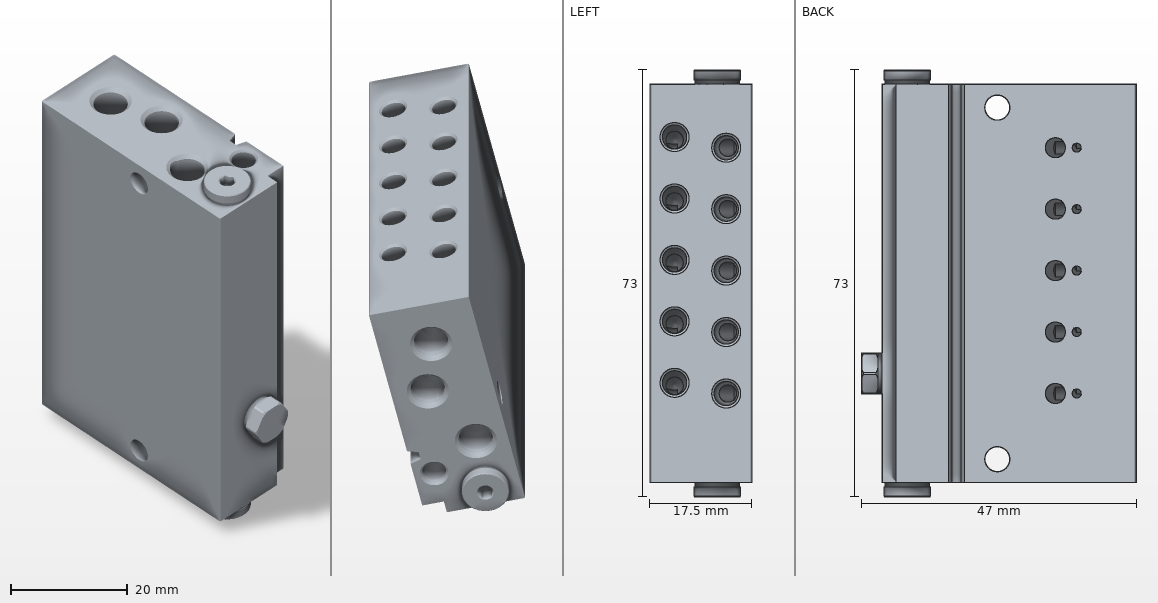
import cadquery as cq
import math

TOTAL_LENGTH = 47.0
TOTAL_HEIGHT = 73.0
BLOCK_LENGTH = 43.5
BLOCK_DEPTH = 17.5
PLUG_HEIGHT = 2.4
BLOCK_HEIGHT = TOTAL_HEIGHT - 2 * PLUG_HEIGHT
BLOCK_TOP = BLOCK_HEIGHT / 2
EDGE_RADIUS = 0.2

STEP_LENGTH = 2.3
STEP_DEPTH = 3.8
GROOVE_X = 30.8
GROOVE_MOUTH = 2.8
GROOVE_FLOOR = 1.5
GROOVE_DEPTH = 1.9

CHANNELS = [
    ((8.25, 8.5), (9.05, 8.5)),
    ((17.9, 11.25), (18.6, 10.65)),
    ((29.9, 5.55), (28.9, 5.25)),
]
PORT_DIAMETER = 5.9
PORT_MOUTH = 7.2
PORT_DEPTH = 6.6
BORE_DIAMETER = 4.15

RELIEF_CENTRE = (35.05, 14.0)
RELIEF_DIAMETER = 4.15
RELIEF_MOUTH = 5.0

MOUNT_X = 23.8
MOUNT_DIAMETER = 4.2
MOUNT_EDGE_DISTANCE = 4.0

STATION_COUNT = 5
STATION_PITCH = 10.5
FIRST_STATION_Z = BLOCK_TOP - 10.9
SIDE_PORT_DIAMETER = 4.15
SIDE_PORT_MOUTH = 5.0
SIDE_PORT_DEPTH = 5.85
SIDE_DRILL_DIAMETER = 3.0
DRILL_HALF_ANGLE = 59.0

REAR_PORT_Y = 13.3
REAR_PORT_RISE = 1.8
REAR_DRILL_DEPTH = 10.2
REAR_DRILL_DROP = 0.5
REAR_CROSS_DIAMETER = 1.5
REAR_CROSS_END_Y = 12.8

FRONT_PORT_Y = 4.45
FRONT_DRILL_DEPTH = 13.9
FRONT_DRILL_SHIFT = 0.3
FRONT_CROSS_DIAMETER = 3.4
FRONT_CROSS_END_Y = 3.15

PLUG_CENTRE = (39.2, 6.0)
PLUG_DIAMETER = 8.0
PLUG_NECK_DIAMETER = 7.7
PLUG_NECK_HEIGHT = 0.7
PLUG_EDGE_CHAMFER = 0.15
SOCKET_FLATS = 2.5
SOCKET_MOUTH = 3.0
SOCKET_DEPTH = 2.05

SCREW_Y = 9.2
SCREW_Z = 18.7 - BLOCK_TOP
SCREW_FLATS = 7.0
SCREW_CORNERS = SCREW_FLATS / math.cos(math.pi / 6)
SCREW_TURNED_DIAMETER = 7.9
SCREW_COLLAR_DIAMETER = 7.0
SCREW_COLLAR_LENGTH = 0.7
SCREW_CHAMFER = 0.3


def cylinder(diameter, length, start, direction):
    solid = cq.Solid.makeCylinder(diameter / 2, length, cq.Vector(*start), cq.Vector(*direction))
    return cq.Workplane(solid)


def cone(start_diameter, end_diameter, length, start, direction):
    solid = cq.Solid.makeCone(
        start_diameter / 2, end_diameter / 2, length, cq.Vector(*start), cq.Vector(*direction)
    )
    return cq.Workplane(solid)


def mouth_chamfer(mouth, diameter, start, direction):
    """45 degree countersink that narrows from mouth to diameter."""
    return cone(mouth, diameter, (mouth - diameter) / 2, start, direction)


def drilled_hole(diameter, depth, start, direction):
    """Blind hole with a conical drill point beyond its full-diameter depth."""
    tip_length = diameter / 2 / math.tan(math.radians(DRILL_HALF_ANGLE))
    tip_start = cq.Vector(*start) + cq.Vector(*direction) * depth
    tip = cone(diameter, 0, tip_length, tip_start.toTuple(), direction)
    return cylinder(diameter, depth, start, direction).union(tip)


def block_body():
    body = cq.Workplane("XY").box(BLOCK_LENGTH, BLOCK_DEPTH, BLOCK_HEIGHT, centered=(False, False, True))
    body = body.edges("|Z").fillet(EDGE_RADIUS)
    step = cq.Workplane("XY").box(STEP_LENGTH, STEP_DEPTH, BLOCK_HEIGHT, centered=(False, False, True))
    step = step.translate((BLOCK_LENGTH - STEP_LENGTH, BLOCK_DEPTH - STEP_DEPTH, 0))
    groove = (
        cq.Workplane("XY", origin=(GROOVE_X, BLOCK_DEPTH, -BLOCK_TOP))
        .moveTo(-GROOVE_MOUTH / 2, 0)
        .lineTo(-GROOVE_FLOOR / 2, -GROOVE_DEPTH)
        .lineTo(GROOVE_FLOOR / 2, -GROOVE_DEPTH)
        .lineTo(GROOVE_MOUTH / 2, 0)
        .close()
        .extrude(BLOCK_HEIGHT)
    )
    return body.cut(step).cut(groove)


def channel_holes():
    """Through bores along Z, opening into larger ports at both ends."""
    holes = []
    for port, bore in CHANNELS:
        holes.append(cylinder(BORE_DIAMETER, BLOCK_HEIGHT, (*bore, -BLOCK_TOP), (0, 0, 1)))
        for end in (1, -1):
            mouth = (*port, end * BLOCK_TOP)
            inward = (0, 0, -end)
            holes.append(drilled_hole(PORT_DIAMETER, PORT_DEPTH, mouth, inward))
            holes.append(mouth_chamfer(PORT_MOUTH, PORT_DIAMETER, mouth, inward))
    return holes


def relief_hole():
    holes = [cylinder(RELIEF_DIAMETER, BLOCK_HEIGHT, (*RELIEF_CENTRE, -BLOCK_TOP), (0, 0, 1))]
    for end in (1, -1):
        mouth = (*RELIEF_CENTRE, end * BLOCK_TOP)
        holes.append(mouth_chamfer(RELIEF_MOUTH, RELIEF_DIAMETER, mouth, (0, 0, -end)))
    return holes


def mounting_holes():
    z = BLOCK_TOP - MOUNT_EDGE_DISTANCE
    return [cylinder(MOUNT_DIAMETER, BLOCK_DEPTH, (MOUNT_X, 0, end * z), (0, 1, 0)) for end in (1, -1)]


def side_port(y, z, drill_y, drill_z, drill_depth):
    """Chamfered port on the left face, with a narrower drilling that goes on from it."""
    return [
        drilled_hole(SIDE_PORT_DIAMETER, SIDE_PORT_DEPTH, (0, y, z), (1, 0, 0)),
        mouth_chamfer(SIDE_PORT_MOUTH, SIDE_PORT_DIAMETER, (0, y, z), (1, 0, 0)),
        drilled_hole(
            SIDE_DRILL_DIAMETER,
            drill_depth - SIDE_PORT_DEPTH,
            (SIDE_PORT_DEPTH, drill_y, drill_z),
            (1, 0, 0),
        ),
    ]


def cross_hole(diameter, x, end_y, z):
    """Blind hole from the rear face that meets the inner end of a side drilling."""
    return cylinder(diameter, BLOCK_DEPTH - end_y, (x, BLOCK_DEPTH, z), (0, -1, 0))


def station_holes():
    holes = []
    for station in range(STATION_COUNT):
        z = FIRST_STATION_Z - station * STATION_PITCH
        rear_z = z + REAR_PORT_RISE
        holes += side_port(REAR_PORT_Y, rear_z, REAR_PORT_Y, rear_z - REAR_DRILL_DROP, REAR_DRILL_DEPTH)
        holes.append(cross_hole(REAR_CROSS_DIAMETER, REAR_DRILL_DEPTH, REAR_CROSS_END_Y, z))
        holes += side_port(FRONT_PORT_Y, z, FRONT_PORT_Y - FRONT_DRILL_SHIFT, z, FRONT_DRILL_DEPTH)
        holes.append(cross_hole(FRONT_CROSS_DIAMETER, FRONT_DRILL_DEPTH, FRONT_CROSS_END_Y, z))
    return holes


def make_block():
    block = block_body()
    holes = channel_holes() + relief_hole() + mounting_holes() + station_holes()
    for hole in holes:
        block = block.cut(hole)
    return block


def make_plug(end):
    """Socket plug seated on the top (end = 1) or bottom (end = -1) of the block."""
    head_height = PLUG_HEIGHT - PLUG_NECK_HEIGHT
    neck = cq.Workplane("XY").circle(PLUG_NECK_DIAMETER / 2).extrude(PLUG_NECK_HEIGHT)
    head = cq.Workplane("XY", origin=(0, 0, PLUG_NECK_HEIGHT)).circle(PLUG_DIAMETER / 2).extrude(head_height)
    head = head.faces(">Z").edges().chamfer(PLUG_EDGE_CHAMFER)
    socket_corners = SOCKET_FLATS / math.cos(math.pi / 6)
    socket = (
        cq.Workplane("XY", origin=(0, 0, PLUG_HEIGHT - SOCKET_DEPTH))
        .polygon(6, socket_corners)
        .extrude(SOCKET_DEPTH)
        .rotate((0, 0, 0), (0, 0, 1), 30)
    )
    countersink = mouth_chamfer(SOCKET_MOUTH, SOCKET_FLATS, (0, 0, PLUG_HEIGHT), (0, 0, -1))
    plug = neck.union(head).cut(socket).cut(countersink)
    if end < 0:
        plug = plug.mirror("XY")
    return plug.translate((*PLUG_CENTRE, end * BLOCK_TOP))


def make_screw():
    """Hexagon screw head with a round collar, chamfered on both ends."""
    axis_plane = cq.Workplane("YZ", origin=(BLOCK_LENGTH, SCREW_Y, SCREW_Z))
    collar = axis_plane.circle(SCREW_COLLAR_DIAMETER / 2).extrude(SCREW_COLLAR_LENGTH)
    head_length = TOTAL_LENGTH - BLOCK_LENGTH - SCREW_COLLAR_LENGTH
    head_plane = axis_plane.workplane(offset=SCREW_COLLAR_LENGTH)
    hexagon = head_plane.polygon(6, SCREW_CORNERS).extrude(head_length)
    chamfered_round = head_plane.circle(SCREW_TURNED_DIAMETER / 2).extrude(head_length)
    chamfered_round = chamfered_round.faces("<X or >X").edges().chamfer(SCREW_CHAMFER)
    return collar.union(hexagon.intersect(chamfered_round))


def single_solid(body):
    return body.solids().val()


block = single_solid(make_block())
plugs = [single_solid(make_plug(end)) for end in (1, -1)]
screw = single_solid(make_screw())

result = cq.Compound.makeCompound([block, *plugs, screw])